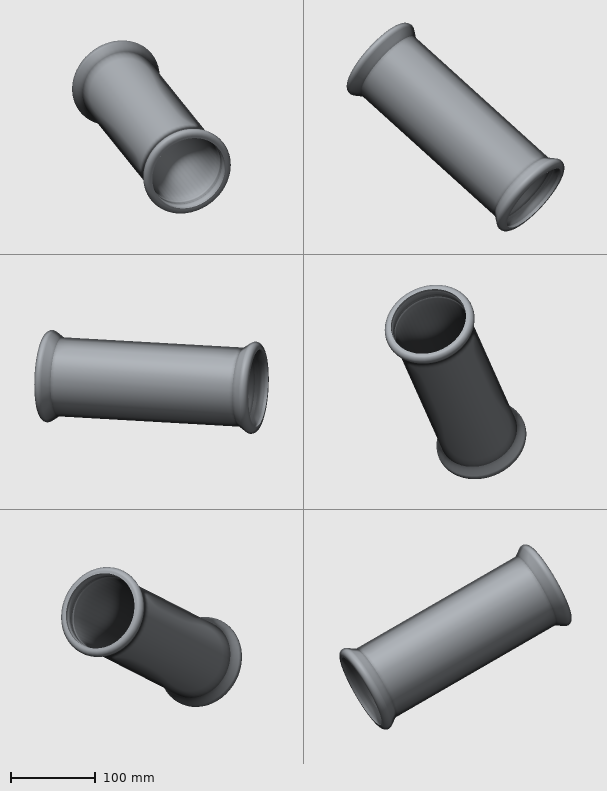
import cadquery as cq
import math

length = 260.0
tube_outer_radius = 93.5 / 2
bore_radius = 89.5 / 2
mouth_radius = 91.3 / 2

bead_top_radius = 109.0 / 2
bead_section_radius = 6.0
flare_length = 19.2

seal_start = 3.7
seal_end = 12.2
lead_in_start = 16.0
lead_in_end = 18.7

half_length = length / 2
bead_center_depth = bead_section_radius
bead_center_radius = bead_top_radius - bead_section_radius

foot_to_center_run = flare_length - bead_center_depth
foot_to_center_rise = bead_center_radius - tube_outer_radius
foot_to_center = math.hypot(foot_to_center_run, foot_to_center_rise)
center_angle = math.atan2(foot_to_center_rise, foot_to_center_run)
cone_angle = center_angle + math.asin(bead_section_radius / foot_to_center)
cone_tangent = (
    bead_center_depth + bead_section_radius * math.sin(cone_angle),
    bead_center_radius + bead_section_radius * math.cos(cone_angle),
)
bead_crown = (bead_center_depth, bead_top_radius)
bead_front = (0, bead_center_radius)
seal_crown = ((seal_start + seal_end) / 2, bore_radius)


def half_sleeve():
    """One half of the sleeve, end face at X = 0 and mid length at X = half_length."""
    section = (
        cq.Workplane("XY")
        .moveTo(*bead_front)
        .threePointArc(bead_crown, cone_tangent)
        .lineTo(flare_length, tube_outer_radius)
        .lineTo(half_length, tube_outer_radius)
        .lineTo(half_length, bore_radius)
        .lineTo(lead_in_end, bore_radius)
        .tangentArcPoint((lead_in_start, mouth_radius), relative=False)
        .lineTo(seal_end, mouth_radius)
        .threePointArc(seal_crown, (seal_start, mouth_radius))
        .lineTo(0, mouth_radius)
        .close()
    )
    return section.revolve(360, (0, 0, 0), (1, 0, 0))


left_half = half_sleeve().translate((-half_length, 0, 0))
right_half = left_half.mirror("YZ")
result = left_half.union(right_half, clean=True)